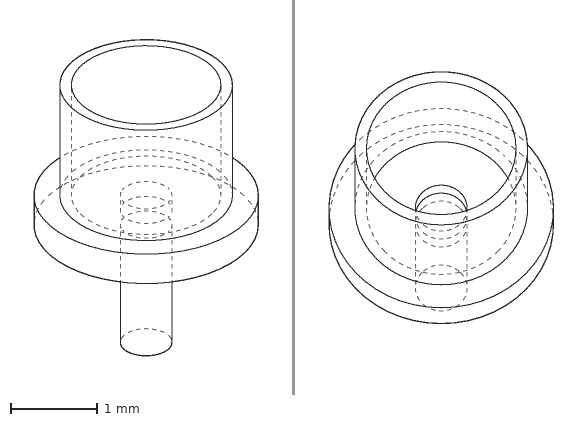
import cadquery as cq

flange_diameter = 2.6
flange_thickness = 0.4
cup_outer_diameter = 2.0
cup_bore_diameter = 1.73
cup_height = 1.5
pin_diameter = 0.6
pin_length = 1.6
recess_diameter = pin_diameter
recess_depth = flange_thickness / 2

pin_bottom = -pin_length
cup_floor = flange_thickness
recess_floor = cup_floor - recess_depth


def cylinder(diameter, bottom, height):
    """Upright cylinder centred on the Z axis."""
    return cq.Workplane("XY").workplane(offset=bottom).circle(diameter / 2).extrude(height)


def make_flange():
    """Round flange with a shallow central recess in line with the pin."""
    disc = cylinder(flange_diameter, 0, flange_thickness)
    recess = cylinder(recess_diameter, recess_floor, recess_depth)
    return disc.cut(recess)


def make_cup():
    """Open-topped tube standing on the flange, which forms its floor."""
    wall = cylinder(cup_outer_diameter, cup_floor, cup_height)
    bore = cylinder(cup_bore_diameter, cup_floor, cup_height)
    return wall.cut(bore)


def make_pin():
    """Solid pin hanging below the flange."""
    return cylinder(pin_diameter, pin_bottom, pin_length)


result = make_flange().union(make_cup()).union(make_pin())